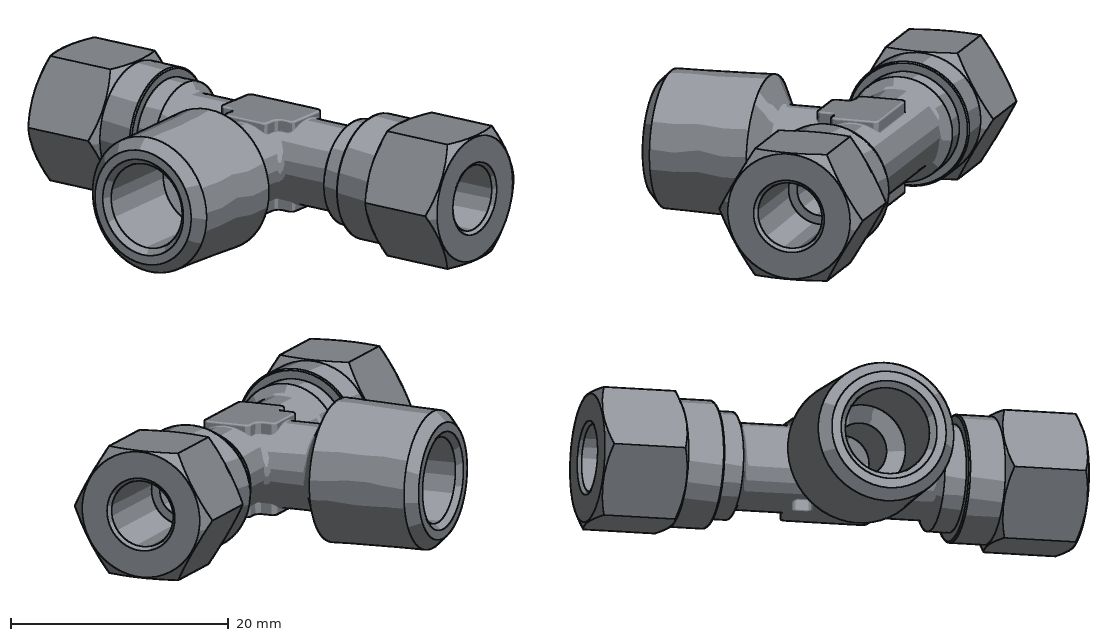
import cadquery as cq
import math

run_length = 46.2
half_run = run_length / 2
face = -half_run
tube_radius = 4.0
run_bore_radius = 2.25
cone_slope = math.tan(math.radians(60))
root_fillet = 0.4

nut_across_flats = 12.0
nut_length = 8.0
nut_chamfer_angle = 30
collar_radius = 5.9
collar_end = 11.45
collar_chamfer = 0.15
pipe_socket_radius = 3.1
pipe_socket_depth = 9.25
pipe_mouth_chamfer = 0.32

shoulder_radius = 5.0
shoulder_end = 13.5

leg_reach = 20.0
thread_start = 9.55
thread_big_radius = 6.7
thread_small_radius = 6.45
thread_end_chamfer = 1.0
leg_bore_radius = 4.0
leg_mouth_chamfer = 0.55
leg_bore_end = 11.3
pilot_radius = 2.5
pilot_end = 4.5
drill_point_angle = 118

pad_half_width = 4.15
pad_half_depth = 2.35
pad_stem_half_width = 2.4
pad_stem_reach = 4.25
pad_height = 4.4
pad_corner_radius = 0.55
pad_edge_fillet = 0.2
pad_base_fillet = 0.15

crease_fillet = 0.45


def revolve_about_x(points):
    return cq.Workplane("XY").polyline(points).close().revolve(360, (0, 0, 0), (1, 0, 0))


def revolve_about_y(points):
    return cq.Workplane("XY").polyline(points).close().revolve(360, (0, 0, 0), (0, 1, 0))


def both_ends(left_half):
    return left_half.union(left_half.mirror("YZ"))


def round_root(body, axis, position):
    """Blend the circular inner corner of a body at a place along axis 0 (X) or 1 (Y)."""
    near = 0.005
    low = [-2 * tube_radius] * 3
    high = [2 * tube_radius] * 3
    low[axis] = position - near
    high[axis] = position + near
    return body.edges(cq.selectors.BoxSelector(low, high)).fillet(root_fillet)


def make_run():
    cone_end = face + shoulder_end + (shoulder_radius - tube_radius) / cone_slope
    hidden_start = face + nut_length / 2
    left_half = revolve_about_x([
        (hidden_start, 0),
        (hidden_start, collar_radius),
        (face + collar_end - collar_chamfer, collar_radius),
        (face + collar_end, collar_radius - collar_chamfer),
        (face + collar_end, shoulder_radius),
        (face + shoulder_end, shoulder_radius),
        (cone_end, tube_radius),
        (0, tube_radius),
        (0, 0),
    ])
    return both_ends(round_root(left_half, 0, cone_end))


def make_nuts():
    corner_radius = nut_across_flats / 2 / math.cos(math.radians(30))
    chamfer = (corner_radius - collar_radius) * math.tan(math.radians(nut_chamfer_angle))
    hexagon = (
        cq.Workplane("YZ", origin=(face, 0, 0))
        .polygon(6, 2 * corner_radius)
        .extrude(nut_length)
    )
    turned = revolve_about_x([
        (face, 0),
        (face, collar_radius),
        (face + chamfer, corner_radius),
        (face + nut_length - chamfer, corner_radius),
        (face + nut_length, collar_radius),
        (face + nut_length, 0),
    ])
    return both_ends(hexagon.intersect(turned))


def make_leg():
    neck_end = thread_start - (thread_big_radius - tube_radius) / cone_slope
    leg = revolve_about_y([
        (0, 0),
        (tube_radius, 0),
        (tube_radius, -neck_end),
        (thread_big_radius, -thread_start),
        (thread_small_radius, -leg_reach + thread_end_chamfer),
        (thread_small_radius - thread_end_chamfer, -leg_reach),
        (0, -leg_reach),
    ])
    return round_root(leg, 1, -neck_end)


def make_pads():
    """One tee-shaped block through the junction; its two ends stand proud as pads."""
    pad = (
        cq.Workplane("XY")
        .polyline([
            (-pad_half_width, pad_half_depth),
            (pad_half_width, pad_half_depth),
            (pad_half_width, -pad_half_depth),
            (pad_stem_half_width, -pad_half_depth),
            (pad_stem_half_width, -pad_stem_reach),
            (-pad_stem_half_width, -pad_stem_reach),
            (-pad_stem_half_width, -pad_half_depth),
            (-pad_half_width, -pad_half_depth),
        ])
        .close()
        .extrude(pad_height, both=True)
    )
    pad = pad.edges("|Z").fillet(pad_corner_radius)
    return pad.faces("<Z or >Z").edges().fillet(pad_edge_fillet)


def round_creases(body):
    """Blend the two upright creases where the leg leaves the run."""
    return body.edges("%ELLIPSE").fillet(crease_fillet)


def round_pad_bases(body):
    """Blend the foot of each pad into the run and the leg."""
    margin = 0.05
    for foot_low, foot_high in ((-tube_radius, -tube_radius / 2), (tube_radius / 2, tube_radius)):
        around_foot = cq.selectors.BoxSelector(
            (-pad_half_width - margin, -pad_stem_reach - margin, foot_low),
            (pad_half_width + margin, pad_half_depth + margin, foot_high),
        )
        body = body.edges(around_foot).edges("not |Z").fillet(pad_base_fillet)
    return body


def make_run_bore():
    return both_ends(revolve_about_x([
        (face, 0),
        (face, pipe_socket_radius + pipe_mouth_chamfer),
        (face + pipe_mouth_chamfer, pipe_socket_radius),
        (face + pipe_socket_depth, pipe_socket_radius),
        (face + pipe_socket_depth, run_bore_radius),
        (0, run_bore_radius),
        (0, 0),
    ]))


def make_leg_bore():
    """Stepped blind hole with drill-point cones at both depths."""
    point_slope = math.tan(math.radians(drill_point_angle / 2))
    step_end = leg_bore_end - (leg_bore_radius - pilot_radius) / point_slope
    tip = pilot_end - pilot_radius / point_slope
    return revolve_about_y([
        (0, -leg_reach),
        (leg_bore_radius + leg_mouth_chamfer, -leg_reach),
        (leg_bore_radius, -leg_reach + leg_mouth_chamfer),
        (leg_bore_radius, -leg_bore_end),
        (pilot_radius, -step_end),
        (pilot_radius, -pilot_end),
        (0, -tip),
    ])


junction = make_run().union(make_leg()).union(make_pads())
body = round_pad_bases(round_creases(junction)).union(make_nuts())
result = body.cut(make_run_bore()).cut(make_leg_bore())